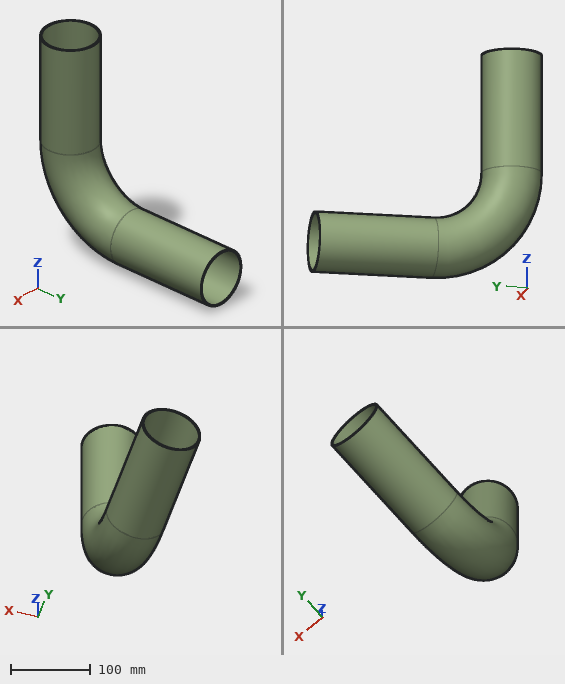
import cadquery as cq

overall_length = 292.0
outer_diameter = 76.2
inner_diameter = 73.0
bend_radius = 101.7

outer_radius = outer_diameter / 2
leg_length = overall_length - outer_radius - bend_radius

centreline = (
    cq.Workplane("YZ")
    .moveTo(-bend_radius, leg_length)
    .lineTo(-bend_radius, 0)
    .radiusArc((0, -bend_radius), -bend_radius)
    .lineTo(leg_length, -bend_radius)
)

result = (
    cq.Workplane("XY", origin=(0, -bend_radius, leg_length))
    .circle(outer_radius)
    .circle(inner_diameter / 2)
    .sweep(centreline)
)